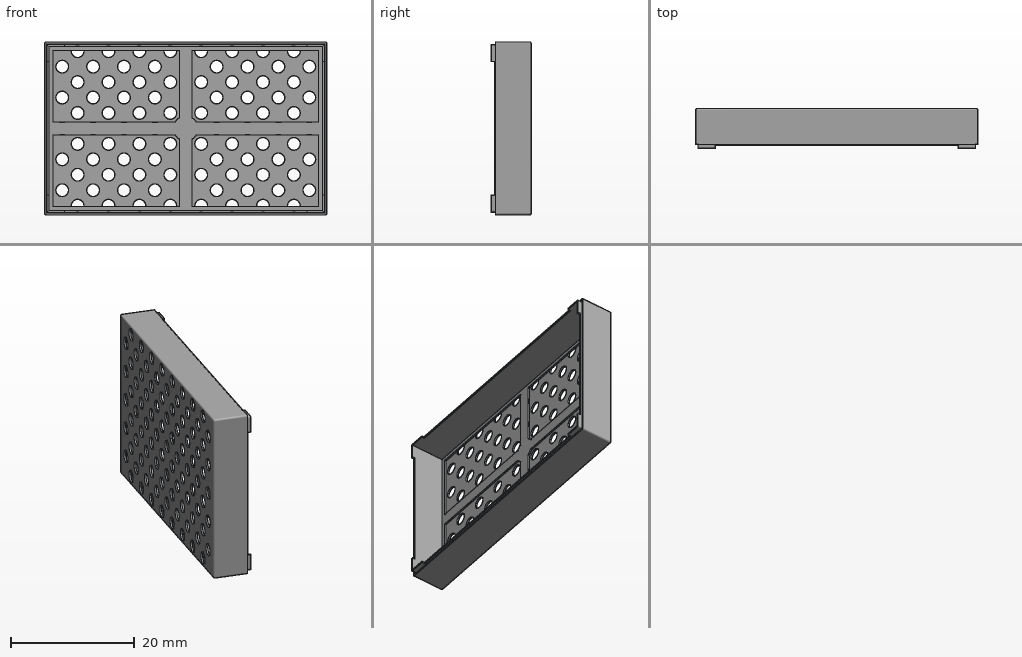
import cadquery as cq

WIDTH = 45.7
DEPTH = 6.5
HEIGHT = 28.0

SHEET = 0.3
COVER_DEPTH = 5.8
EDGE_RADIUS = SHEET

HOLE_DIAMETER = 2.0
HOLE_SPAN = 40.0
COLUMNS_EACH_SIDE = 8
ROWS_EACH_SIDE = 5
HOLE_STEP = HOLE_SPAN / (2 * COLUMNS_EACH_SIDE)

GAP_X = 0.1
GAP_Z = 0.15
FRAME_CORNER_RADIUS = 0.3
WALL_STEP = 0.4
WINDOW_BORDER = 0.7
FRAME_INSET = SHEET + WALL_STEP
FRAME_DEPTH = 6.0
WEB = 0.27
WINDOW_INSET = FRAME_INSET + WINDOW_BORDER
RIB_WIDTH = 2.05
HUB_DIAMETER = 4.0
TAB_REACH = 3.2

BACK = DEPTH / 2
FLOOR_BACK = BACK - SHEET
FLOOR_FRONT = FLOOR_BACK - WEB
COVER_FRONT = BACK - COVER_DEPTH
RIM_FRONT = BACK - FRAME_DEPTH
TAB_FRONT = BACK - DEPTH


def block(width, height, y_front, y_back):
    """Box centred on X and Z, spanning y_front to y_back."""
    box = cq.Workplane("XY").box(width, y_back - y_front, height)
    return box.translate((0, (y_front + y_back) / 2, 0))


def make_perforation():
    """All the holes through the back of the cover."""
    centres = [
        (column * HOLE_STEP, row * HOLE_STEP)
        for row in range(-ROWS_EACH_SIDE, ROWS_EACH_SIDE + 1)
        for column in range(-COLUMNS_EACH_SIDE, COLUMNS_EACH_SIDE + 1)
        if (row + column) % 2 == 0
    ]
    back_plane = cq.Workplane("XZ", origin=(0, BACK, 0))
    return back_plane.pushPoints(centres).circle(HOLE_DIAMETER / 2).extrude(SHEET)


def make_cover():
    shell = block(WIDTH, HEIGHT, COVER_FRONT, BACK).edges("|Y or >Y").fillet(EDGE_RADIUS)
    cavity = block(WIDTH - 2 * SHEET, HEIGHT - 2 * SHEET, COVER_FRONT, FLOOR_BACK)
    return shell.cut(cavity).cut(make_perforation())


def make_windows():
    """Four rectangular openings that leave a cross of ribs between them."""
    window_width = (WIDTH - RIB_WIDTH) / 2 - WINDOW_INSET
    window_height = (HEIGHT - RIB_WIDTH) / 2 - WINDOW_INSET
    pitch_x = window_width + RIB_WIDTH
    pitch_z = window_height + RIB_WIDTH
    return (
        cq.Workplane("XZ", origin=(0, FLOOR_BACK, 0))
        .rarray(pitch_x, pitch_z, 2, 2)
        .rect(window_width, window_height)
        .extrude(WEB)
    )


def make_frame():
    outer_width = WIDTH - 2 * (SHEET + GAP_X)
    outer_height = HEIGHT - 2 * (SHEET + GAP_Z)
    frame = block(outer_width, outer_height, TAB_FRONT, FLOOR_BACK)
    frame = frame.edges("|Y").fillet(FRAME_CORNER_RADIUS)

    frame = frame.cut(block(WIDTH - 2 * FRAME_INSET, HEIGHT - 2 * FRAME_INSET, TAB_FRONT, FLOOR_FRONT))

    frame = frame.cut(block(WIDTH - 2 * TAB_REACH, HEIGHT, TAB_FRONT, RIM_FRONT))
    frame = frame.cut(block(WIDTH, HEIGHT - 2 * TAB_REACH, TAB_FRONT, RIM_FRONT))

    hub = cq.Workplane("XZ", origin=(0, FLOOR_BACK, 0)).circle(HUB_DIAMETER / 2).extrude(WEB)
    return frame.cut(make_windows().cut(hub))


cover = make_cover()
frame = make_frame()
result = cq.Compound.makeCompound([cover.val(), frame.val()])